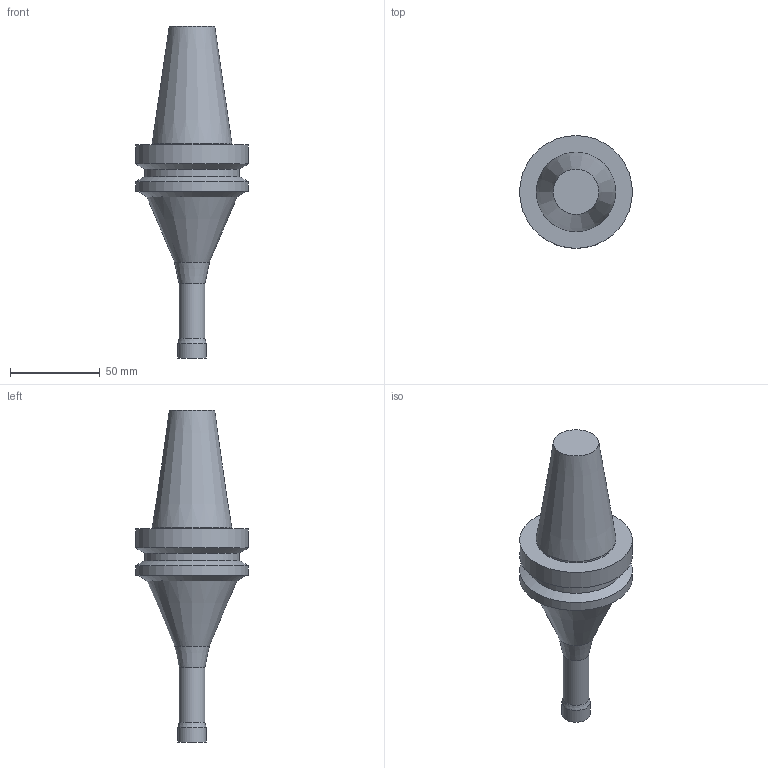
import cadquery as cq
import math

gauge_diameter = 44.45
taper_ratio = 7 / 24
taper_length = 65.4

flange_diameter = 63.0
flange_top = -1.0
flange_bottom = -27.0
groove_floor_diameter = 53.0
groove_width = 10.0
groove_center = -16.6
groove_flank_angle = 30.0

shoulder_top_diameter = 60.0
shoulder_diameter = 50.4
shoulder_height = 3.0

cone_end_diameter = 19.5
cone_end = -66.4
neck_diameter = 14.5
neck_top = -78.4

nose_diameter = 16.0
nose_height = 8.0
nose_flare_height = 3.0
nose_bottom = -120.0


def taper_shank():
    """Tapered shank, with a short cylinder down to the flange."""
    gauge_radius = gauge_diameter / 2
    small_radius = (gauge_diameter - taper_ratio * taper_length) / 2
    return [
        (0, taper_length),
        (small_radius, taper_length),
        (gauge_radius, 0),
        (gauge_radius, flange_top),
    ]


def grooved_flange():
    """Flange rim with the V groove cut around it."""
    rim_radius = flange_diameter / 2
    floor_radius = groove_floor_diameter / 2
    flank_height = (rim_radius - floor_radius) * math.tan(math.radians(groove_flank_angle))
    groove_top = groove_center + groove_width / 2
    groove_bottom = groove_center - groove_width / 2
    return [
        (rim_radius, flange_top),
        (rim_radius, groove_top),
        (floor_radius, groove_top - flank_height),
        (floor_radius, groove_bottom + flank_height),
        (rim_radius, groove_bottom),
        (rim_radius, flange_bottom),
    ]


def cone_and_neck():
    """Shoulder, long cone and short cone leading to the straight neck."""
    return [
        (shoulder_top_diameter / 2, flange_bottom),
        (shoulder_diameter / 2, flange_bottom - shoulder_height),
        (cone_end_diameter / 2, cone_end),
        (neck_diameter / 2, neck_top),
    ]


def nose():
    """Flare from the neck to the cylindrical nose."""
    nose_radius = nose_diameter / 2
    nose_top = nose_bottom + nose_height
    return [
        (neck_diameter / 2, nose_top + nose_flare_height),
        (nose_radius, nose_top),
        (nose_radius, nose_bottom),
        (0, nose_bottom),
    ]


half_profile = taper_shank() + grooved_flange() + cone_and_neck() + nose()
result = cq.Workplane("XZ").polyline(half_profile).close().revolve(360, (0, 0, 0), (0, 1, 0))